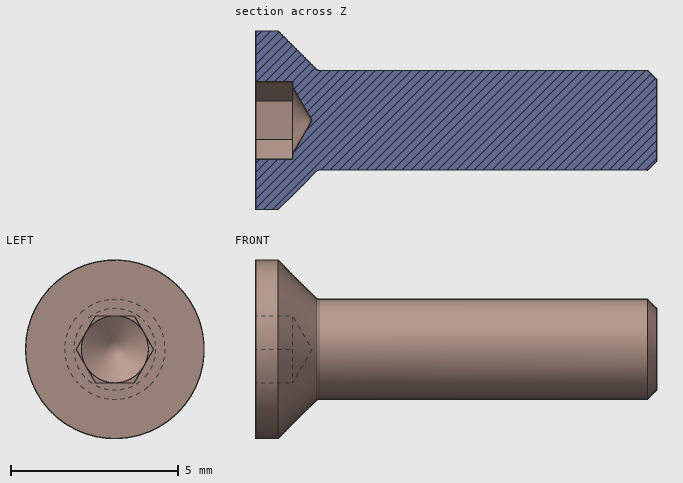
import cadquery as cq
import math

length = 12.0
head_radius = 5.35 / 2
rim_thickness = 0.67
shank_radius = 3.0 / 2
neck_fillet = 0.11
tip_chamfer = 0.28
cone_angle = math.radians(45)

socket_across_flats = 2.0
socket_depth = 1.1
drill_point_angle = math.radians(120)

neck_x = rim_thickness + (head_radius - shank_radius) / math.tan(cone_angle)


def make_body():
    """Revolve the half profile of head, shank and chamfered tip about X."""
    half_angle = cone_angle / 2
    tangent_length = neck_fillet * math.tan(half_angle)
    cone_end = (
        neck_x - tangent_length * math.cos(cone_angle),
        shank_radius + tangent_length * math.sin(cone_angle),
    )
    shank_start = (neck_x + tangent_length, shank_radius)
    fillet_middle = (
        shank_start[0] - neck_fillet * math.sin(half_angle),
        shank_radius + neck_fillet * (1 - math.cos(half_angle)),
    )
    return (
        cq.Workplane("XY")
        .lineTo(0, head_radius)
        .lineTo(rim_thickness, head_radius)
        .lineTo(*cone_end)
        .threePointArc(fillet_middle, shank_start)
        .lineTo(length - tip_chamfer, shank_radius)
        .lineTo(length, shank_radius - tip_chamfer)
        .lineTo(length, 0)
        .close()
        .revolve(360, (0, 0, 0), (1, 0, 0))
    )


def make_socket():
    """Hexagonal recess with two corners along Y, ending in a conical drill point."""
    across_corners = socket_across_flats / math.cos(math.pi / 6)
    hexagon = cq.Workplane("YZ").polygon(6, across_corners).extrude(socket_depth)

    point_radius = socket_across_flats / 2
    point_depth = point_radius / math.tan(drill_point_angle / 2)
    floor_center = cq.Vector(socket_depth, 0, 0)
    drill_point = cq.Solid.makeCone(point_radius, 0, point_depth, floor_center, cq.Vector(1, 0, 0))
    return hexagon.union(cq.Workplane(drill_point))


result = make_body().cut(make_socket())